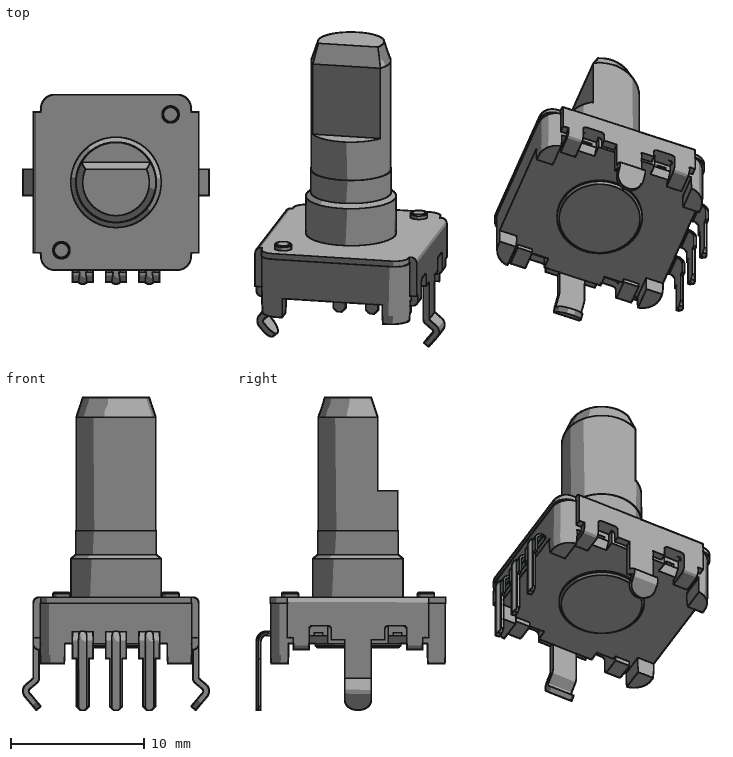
import cadquery as cq
import math


body_x = 11.4
body_y = 13.14
body_corner_r = 1.5
body_bottom_z = 1.5
cover_bottom_z = 4.55
cover_top_z = 5.0

foot_x = 1.86
foot_y = 1.36
foot_tip_height = 0.67
foot_tip_inset = 0.04

disc_d = 6.4
disc_tip_d = 6.06
disc_rim_height = 0.15
disc_height = 0.3

plate_x = 11.3
plate_y = 13.2
plate_corner_r = 1.05
wing_outer_x = 6.22
wing_half_y = 5.3
wing_bend_r = 0.45
wing_bottom_z = 1.95
wing_middle_bottom_z = 1.8
window_inner_y = 2.0
window_outer_y = 3.67
window_top_z = 2.85
window_corner_r = 0.3
tab_outer_y = 4.86
tab_thickness = 0.45
tab_bend_r = 0.45
tab_reach = 1.7

recess_inner_y = 2.26
recess_depth = 0.45
recess_slope_z = 2.1
recess_slope_depth = 0.4
wedge_width = 0.65
wedge_top_z = 2.34
wedge_depth = 0.04

leg_width = 2.0
leg_thickness = 0.45
leg_bend_z = -1.1
leg_slope = math.radians(40)
leg_reach_x = 7.0
leg_tip_z = -3.5
leg_inner_r = 0.2
leg_tip_r = 0.99

rivet_x = 4.1
rivet_y = 5.1
rivet_d = 1.28
rivet_height = 0.37
rivet_chamfer = 0.1

bushing_d = 6.8
bushing_top_z = 8.2
bushing_chamfer_height = 0.3
collar_d = 6.06
collar_top_z = 10.0
shaft_d = 6.0
shaft_top_z = 20.0
flat_y = 1.5
flat_bottom_z = 13.0
tip_height = 1.5
tip_inset = 0.5

pin_pitch = 2.5
pin_outer_y = -7.49
pin_thickness = 0.2
pin_top_z = 2.29
pin_bend_r = 0.65
pin_width = 0.95
pin_tip_z = -3.5
pin_tip_chamfer = 0.3
shoulder_width = 1.55
shoulder_bottom_z = 0.37
bead_width = 0.64
bead_height = 0.16
pin_root = 0.3


def box(x0, x1, y0, y1, z0, z1):
    return cq.Workplane("XY").box(x1 - x0, y1 - y0, z1 - z0, centered=False).translate((x0, y0, z0))


def cylinder(diameter, z0, z1):
    return cq.Workplane("XY").workplane(offset=z0).circle(diameter / 2).extrude(z1 - z0)


def rounded_block(x, y, r, z0, z1):
    return cq.Workplane("XY").box(x, y, z1 - z0).edges("|Z").fillet(r).translate((0, 0, (z0 + z1) / 2))


def mirrored_x(solid):
    return solid.union(solid.mirror("YZ"))


def mirrored_y(solid):
    return solid.union(solid.mirror("XZ"))


def make_foot():
    """Foot under the (-X, -Y) corner, with a slightly narrower tip."""
    x0 = -body_x / 2
    y0 = -body_y / 2
    x1 = x0 + foot_x
    y1 = y0 + foot_y
    column = rounded_block(body_x, body_y, body_corner_r, foot_tip_height, body_bottom_z)
    column = column.intersect(box(x0, x1, y0, y1, foot_tip_height, body_bottom_z))
    taper = math.degrees(math.atan(foot_tip_inset / foot_tip_height))
    tip = column.faces("<Z").wires().toPending().workplane().extrude(
        foot_tip_height, taper=taper, combine=False
    )
    return column.union(tip)


def make_recess():
    """Recess in the -X, +Y side of the housing, its floor sloping inward at the bottom."""
    x_face = -body_x / 2
    x_floor = x_face + recess_depth
    profile = [
        (x_face, body_bottom_z),
        (x_floor + recess_slope_depth, body_bottom_z),
        (x_floor, recess_slope_z),
        (x_floor, window_top_z),
        (x_face, window_top_z),
    ]
    cutter = cq.Workplane("XZ", origin=(0, recess_inner_y, 0)).polyline(profile).close()
    return cutter.extrude(recess_inner_y - window_outer_y)


def make_wedge():
    """Small wedge on the -X, +Y recess floor, fading out at the top of the slope."""
    x_floor = -body_x / 2 + recess_depth
    middle_y = (recess_inner_y + window_outer_y) / 2
    profile = [
        (x_floor, recess_slope_z),
        (x_floor - wedge_depth, wedge_top_z),
        (x_floor, wedge_top_z),
    ]
    wedge = cq.Workplane("XZ", origin=(0, middle_y, 0)).polyline(profile).close()
    return wedge.extrude(wedge_width / 2, both=True)


def make_housing():
    housing = rounded_block(body_x, body_y, body_corner_r, body_bottom_z, cover_bottom_z)
    housing = housing.union(mirrored_x(mirrored_y(make_foot())))
    housing = housing.cut(mirrored_x(mirrored_y(make_recess())))
    housing = housing.union(mirrored_x(mirrored_y(make_wedge())))
    rim_z = body_bottom_z - disc_rim_height
    tip_z = body_bottom_z - disc_height
    disc = (
        cq.Workplane("XZ")
        .polyline([
            (0, body_bottom_z),
            (disc_d / 2, body_bottom_z),
            (disc_d / 2, rim_z),
            (disc_tip_d / 2, tip_z),
            (0, tip_z),
        ])
        .close()
        .revolve(360, (0, 0, 0), (0, 1, 0))
    )
    return housing.union(disc)


def make_wing():
    """Side wing folded down over the -X side of the housing."""
    wing = box(-wing_outer_x, -body_x / 2, -wing_half_y, wing_half_y, wing_bottom_z, cover_top_z)
    bridge = box(
        -body_x / 2, -plate_x / 2, -wing_half_y, wing_half_y, cover_bottom_z, cover_top_z
    )
    wing = wing.union(bridge).edges("|Y and >Z and <X").fillet(wing_bend_r)
    middle = box(
        -wing_outer_x, -body_x / 2, -window_inner_y, window_inner_y, wing_middle_bottom_z, wing_bottom_z
    )
    window = (
        box(-wing_outer_x, -body_x / 2, window_inner_y, window_outer_y, 0, window_top_z)
        .edges("|X and >Z")
        .fillet(window_corner_r)
    )
    wing = wing.union(middle).cut(mirrored_y(window))
    return wing.union(mirrored_y(make_tab()))


def make_tab():
    """Tab at the foot of the -X wing, folded inward under the housing."""
    tab_bottom_z = body_bottom_z - tab_thickness
    tab = box(
        -wing_outer_x, -body_x / 2, window_outer_y, tab_outer_y, tab_bottom_z, wing_bottom_z
    )
    tab = tab.edges("|Y and <Z and <X").fillet(tab_bend_r)
    fold = box(
        -body_x / 2, -wing_outer_x + tab_reach, window_outer_y, tab_outer_y, tab_bottom_z, body_bottom_z
    )
    return tab.union(fold)


def make_leg():
    """Snap-in leg below the -X wing: bent outward, then back inward at a right angle."""
    t = leg_thickness
    cos_s = math.cos(leg_slope)
    sin_s = math.sin(leg_slope)
    outer_r = leg_inner_r + t

    def on_pivot(angle):
        return (wing_outer_x - t * math.cos(angle), leg_bend_z - t * math.sin(angle))

    pivot_turn = math.pi / 2 - leg_slope

    centre_x = leg_reach_x - outer_r
    along = (centre_x + outer_r * sin_s - wing_outer_x) / cos_s
    centre_z = leg_bend_z - along * sin_s - outer_r * cos_s

    def on_bend(radius, angle):
        return (centre_x + radius * math.cos(angle), centre_z + radius * math.sin(angle))

    bend_start = pivot_turn
    bend_middle = bend_start - math.pi / 4
    bend_end = bend_start - math.pi / 2

    outer_end = on_bend(outer_r, bend_end)
    run = (outer_end[1] - leg_tip_z) / cos_s
    step = (-run * sin_s, -run * cos_s)
    inner_end = on_bend(leg_inner_r, bend_end)
    outer_tip = (outer_end[0] + step[0], outer_end[1] + step[1])
    inner_tip = (inner_end[0] + step[0], inner_end[1] + step[1])

    leg = (
        cq.Workplane("XZ")
        .moveTo(wing_outer_x - t, wing_bottom_z)
        .lineTo(wing_outer_x, wing_bottom_z)
        .lineTo(wing_outer_x, leg_bend_z)
        .lineTo(*on_bend(outer_r, bend_start))
        .threePointArc(on_bend(outer_r, bend_middle), outer_end)
        .lineTo(*outer_tip)
        .lineTo(*inner_tip)
        .lineTo(*inner_end)
        .threePointArc(on_bend(leg_inner_r, bend_middle), on_bend(leg_inner_r, bend_start))
        .lineTo(*on_pivot(pivot_turn))
        .threePointArc(on_pivot(pivot_turn / 2), on_pivot(0))
        .close()
        .extrude(leg_width / 2, both=True)
    )
    tip_level = leg_tip_z + t
    tip_edges = cq.selectors.BoxSelector((0, -leg_width, leg_tip_z - t), (leg_reach_x, leg_width, tip_level))
    across = cq.selectors.ParallelDirSelector(cq.Vector(cos_s, 0, -sin_s))
    leg = leg.edges(tip_edges).edges(across).fillet(leg_tip_r)
    return leg.mirror("YZ")


def make_rivet():
    rivet = cylinder(rivet_d, cover_bottom_z, cover_top_z + rivet_height)
    return rivet.faces(">Z").chamfer(rivet_chamfer).translate((rivet_x, rivet_y, 0))


def make_cover():
    cover = rounded_block(plate_x, plate_y, plate_corner_r, cover_bottom_z, cover_top_z)
    cover = cover.union(mirrored_x(make_wing().union(make_leg())))
    rivet = make_rivet()
    return cover.union(rivet).union(rivet.rotate((0, 0, 0), (0, 0, 1), 180))


def make_shaft():
    neck_inset = (bushing_d - collar_d) / 2
    bushing = cylinder(bushing_d, cover_bottom_z, bushing_top_z)
    bushing = bushing.faces(">Z").chamfer(bushing_chamfer_height, neck_inset)
    collar = cylinder(collar_d, cover_bottom_z, collar_top_z)
    return bushing.union(collar).union(make_flatted_shaft())


def make_flatted_shaft():
    """D-shaped shaft whose round side and flat both slope inward at the tip."""
    shaft = cylinder(shaft_d, collar_top_z, shaft_top_z).faces(">Z").chamfer(tip_height, tip_inset)
    flat_cutter = (
        cq.Workplane("YZ")
        .polyline([
            (flat_y, flat_bottom_z),
            (flat_y, shaft_top_z - tip_height),
            (flat_y - tip_inset, shaft_top_z),
            (shaft_d, shaft_top_z),
            (shaft_d, flat_bottom_z),
        ])
        .close()
        .extrude(shaft_d, both=True)
    )
    return shaft.cut(flat_cutter)


def bent_strip(section, bottom_z):
    """Carry a section down from the bend, round the bend and into the housing.

    The section is a function that draws the closed outline on a given workplane.
    """
    bend_y = pin_outer_y + pin_bend_r
    bend_z = pin_top_z - pin_bend_r
    root_y = -body_y / 2 + pin_root
    drop = section(cq.Workplane("XY", origin=(0, pin_outer_y, bend_z))).extrude(bottom_z - bend_z)
    bend = section(cq.Workplane("XY", origin=(0, pin_outer_y, bend_z))).revolve(
        90, (0, pin_bend_r, 0), (-1, pin_bend_r, 0)
    )
    level_plane = cq.Plane(origin=(0, bend_y, pin_top_z), xDir=(1, 0, 0), normal=(0, 1, 0))
    level = section(cq.Workplane(level_plane)).extrude(root_y - bend_y)
    return drop.union(bend).union(level)


def strip_section(width):
    def draw(plane):
        return plane.center(0, pin_thickness / 2).rect(width, pin_thickness)

    return draw


def bead_section(plane):
    half = bead_width / 2
    return (
        plane.moveTo(-half, pin_thickness / 2)
        .lineTo(-half, 0)
        .threePointArc((0, -bead_height), (half, 0))
        .lineTo(half, pin_thickness / 2)
        .close()
    )


def make_pin():
    """Terminal with a wide shoulder, a narrow blade and a rounded bead along its outside."""
    pin = bent_strip(strip_section(shoulder_width), shoulder_bottom_z)
    pin = pin.union(bent_strip(strip_section(pin_width), pin_tip_z))
    pin = pin.union(bent_strip(bead_section, pin_tip_z))
    half = pin_width / 2
    tip_corner = (
        cq.Workplane("XZ")
        .polyline([
            (half, pin_tip_z),
            (half, pin_tip_z + pin_tip_chamfer),
            (half - pin_tip_chamfer, pin_tip_z),
        ])
        .close()
        .extrude(body_y)
    )
    return pin.cut(mirrored_x(tip_corner))


result = make_housing().union(make_cover()).union(make_shaft())
for position in (-1, 0, 1):
    result = result.union(make_pin().translate((position * pin_pitch, 0, 0)))